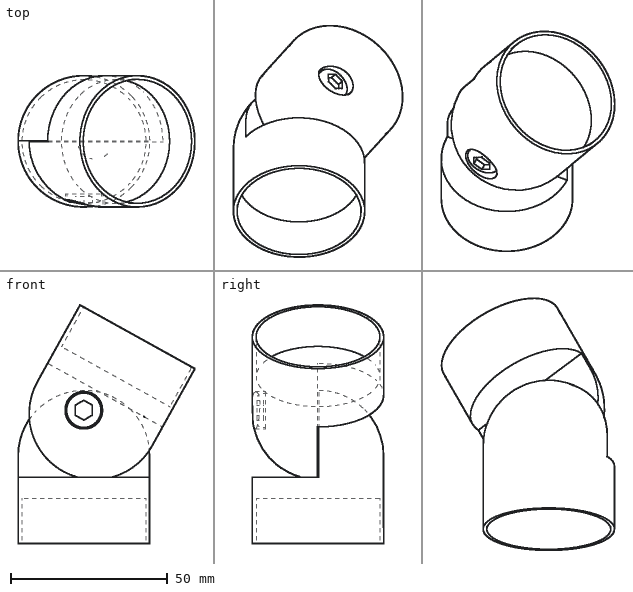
import cadquery as cq
import math

outer_diameter = 42.0
bore_diameter = 39.6
bore_depth = 14.5
shoulder_height = 21.3
dome_height = 28.05
joint_gap = 0.4
outer_radius = outer_diameter / 2

tilt = 29.0
total_height = 76.2
total_width = 56.5

pivot_height = 42.6
recess_diameter = 12.0
recess_floor = 16.8
head_diameter = 11.0
head_face = 19.5
head_rounding = 1.7
hex_width = 5.5
hex_depth = 2.0


def socket_half():
    """Upright socket with a half dome on its +Y side and a stop face on its -Y side."""
    tube = cq.Workplane("XY").circle(outer_radius).extrude(dome_height)
    dome = cq.Workplane("XY").sphere(outer_radius).translate((0, 0, dome_height))
    bore = cq.Workplane("XY").circle(bore_diameter / 2).extrude(bore_depth)
    clearance = (
        cq.Workplane("XY")
        .box(outer_diameter, outer_radius + joint_gap / 2, outer_diameter, centered=(True, False, False))
        .translate((0, -outer_radius, shoulder_height))
    )
    return tube.union(dome).cut(clearance).cut(bore)


def pivot_cylinder(diameter, start, end):
    """Cylinder on the pivot axis between two distances on the -Y side."""
    return (
        cq.Workplane("XZ", origin=(0, -start, pivot_height))
        .circle(diameter / 2)
        .extrude(end - start)
    )


def screw_head():
    """Round-edged screw head on the recess floor; its hexagon socket is turned with the tilted half."""
    head = pivot_cylinder(head_diameter, recess_floor, head_face).faces("<Y").edges().fillet(head_rounding)
    hexagon = (
        cq.Workplane("XZ", origin=(0, -head_face, pivot_height))
        .transformed(rotate=(0, 0, -tilt))
        .polygon(6, hex_width / math.cos(math.pi / 6))
        .extrude(-hex_depth)
    )
    return head.cut(hexagon)


def tilted_half():
    """Inverted, leaning socket half that carries the screw head."""
    angle = math.radians(tilt)
    end_x = total_width - outer_radius - outer_radius * math.cos(angle)
    end_z = total_height - outer_radius * math.sin(angle)
    half = (
        socket_half()
        .rotate((0, 0, 0), (1, 0, 0), 180)
        .rotate((0, 0, 0), (0, 1, 0), tilt)
        .translate((end_x, 0, end_z))
    )
    recess = pivot_cylinder(recess_diameter, recess_floor, outer_diameter)
    return half.cut(recess).union(screw_head())


base = socket_half()
swivel = tilted_half().cut(base)

result = cq.Compound.makeCompound([base.val(), swivel.val()])